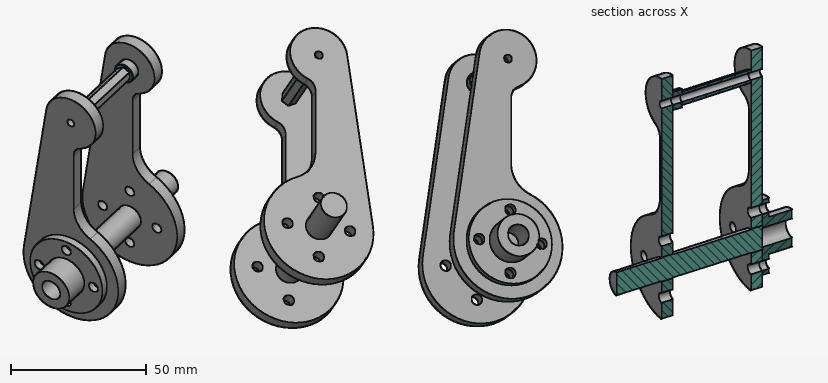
import cadquery as cq
import math

ASSEMBLY_TURN = 0.5

PLATE_THICKNESS = 5.0
PLATE_GAP = 34.0
ARM_LENGTH = 70.0
PIVOT_RADIUS = 21.0
TIP_RADIUS = 11.0
NECK_X = 1.25
PIVOT_FILLET = 12.0
TIP_FILLET = 5.0

BOLT_CIRCLE_RADIUS = 12.0
BOLT_HOLE_DIAMETER = 4.0
BOLT_COUNT = 4
TIP_HOLE_DIAMETER = 3.0

SHAFT_DIAMETER = 10.0
SHAFT_OVERHANG = 19.67

FLANGE_DIAMETER = 32.0
FLANGE_THICKNESS = 3.0
HUB_DIAMETER = 16.0
HUB_LENGTH = 10.0
HUB_BORE = 8.0

SPACER_SIDES = 6
SPACER_DIAMETER = 6.06
SPACER_TURN = 4.0

COLLAR_DIAMETER = 8.0
COLLAR_LENGTH = 4.0
COLLAR_CHAMFER = 0.2

REAR_PLATE_Y = PLATE_THICKNESS + PLATE_GAP
REAR_FACE_Y = REAR_PLATE_Y + PLATE_THICKNESS
SHAFT_LENGTH = REAR_FACE_Y + SHAFT_OVERHANG
SPACER_LENGTH = PLATE_GAP - COLLAR_LENGTH


def section(y):
    """Sketch plane across the pivot axis: local x is X, local y is Z.

    A negative extrusion runs towards +Y.
    """
    return cq.Workplane("XZ", origin=(0, y, 0))


def on_circle(centre_z, radius, angle):
    """Point on a circle centred on X = 0, with the angle in radians from +X."""
    return (radius * math.cos(angle), centre_z + radius * math.sin(angle))


def neck_fillet(centre_z, radius, fillet, side):
    """Fillet between a round end and the neck edge.

    side is +1 when the neck is above the round end and -1 when it is below.
    Returns the points on the round end, at mid-arc and on the neck edge.
    """
    x = NECK_X + fillet
    rise = side * math.sqrt((radius + fillet) ** 2 - x ** 2)
    z = centre_z + rise
    to_fillet = math.atan2(rise, x)
    end_point = on_circle(centre_z, radius, to_fillet)
    neck_point = (NECK_X, z)
    middle = to_fillet / 2 - side * math.pi
    mid_point = (x + fillet * math.cos(middle), z + fillet * math.sin(middle))
    return end_point, mid_point, neck_point


def bolt_holes(y, depth):
    """Ring of bolt holes around the pivot axis, from y towards +Y."""
    return (
        section(y)
        .polarArray(BOLT_CIRCLE_RADIUS, 0, 360, BOLT_COUNT)
        .circle(BOLT_HOLE_DIAMETER / 2)
        .extrude(-depth)
    )


def make_plate(y):
    """Arm with two round ends, a straight tangent edge at -X and a recessed neck at +X."""
    tangent = math.pi - math.asin((PIVOT_RADIUS - TIP_RADIUS) / ARM_LENGTH)
    pivot_end, pivot_mid, pivot_neck = neck_fillet(0, PIVOT_RADIUS, PIVOT_FILLET, 1)
    tip_end, tip_mid, tip_neck = neck_fillet(ARM_LENGTH, TIP_RADIUS, TIP_FILLET, -1)
    plate = (
        section(y)
        .moveTo(*on_circle(0, PIVOT_RADIUS, tangent))
        .threePointArc((0, -PIVOT_RADIUS), pivot_end)
        .threePointArc(pivot_mid, pivot_neck)
        .lineTo(*tip_neck)
        .threePointArc(tip_mid, tip_end)
        .threePointArc((0, ARM_LENGTH + TIP_RADIUS), on_circle(ARM_LENGTH, TIP_RADIUS, tangent))
        .close()
        .extrude(-PLATE_THICKNESS)
    )
    shaft_hole = section(y).circle(SHAFT_DIAMETER / 2).extrude(-PLATE_THICKNESS)
    tip_hole = section(y).center(0, ARM_LENGTH).circle(TIP_HOLE_DIAMETER / 2).extrude(-PLATE_THICKNESS)
    return plate.cut(shaft_hole).cut(tip_hole).cut(bolt_holes(y, PLATE_THICKNESS))


def make_hub():
    """Flanged hub on the front face of the front plate, bored right through."""
    flange = section(0).circle(FLANGE_DIAMETER / 2).extrude(FLANGE_THICKNESS)
    boss = section(-FLANGE_THICKNESS).circle(HUB_DIAMETER / 2).extrude(HUB_LENGTH)
    bore = section(0).circle(HUB_BORE / 2).extrude(FLANGE_THICKNESS + HUB_LENGTH)
    return flange.union(boss).cut(bore).cut(bolt_holes(-FLANGE_THICKNESS, FLANGE_THICKNESS))


def make_shaft():
    """Plain shaft from the back of the hub through both plates."""
    return section(0).circle(SHAFT_DIAMETER / 2).extrude(-SHAFT_LENGTH)


def make_spacer():
    """Hexagonal tube from the front plate to the collar, with a corner near the top."""
    return (
        section(PLATE_THICKNESS)
        .center(0, ARM_LENGTH)
        .transformed(rotate=(0, 0, 90 + SPACER_TURN))
        .polygon(SPACER_SIDES, SPACER_DIAMETER)
        .circle(TIP_HOLE_DIAMETER / 2)
        .extrude(-SPACER_LENGTH)
    )


def make_collar():
    """Round collar between the rear end of the spacer and the rear plate."""
    tip_axis = section(REAR_PLATE_Y).center(0, ARM_LENGTH)
    return (
        tip_axis
        .circle(COLLAR_DIAMETER / 2)
        .extrude(COLLAR_LENGTH)
        .faces("<Y or >Y").edges()
        .chamfer(COLLAR_CHAMFER)
        .cut(tip_axis.circle(TIP_HOLE_DIAMETER / 2).extrude(COLLAR_LENGTH))
    )


plates = [make_plate(y) for y in (0, REAR_PLATE_Y)]
bodies = [*plates, make_hub(), make_shaft(), make_spacer(), make_collar()]
turned = [body.rotate((0, 0, 0), (0, 0, 1), ASSEMBLY_TURN) for body in bodies]

result = cq.Compound.makeCompound([body.val() for body in turned])